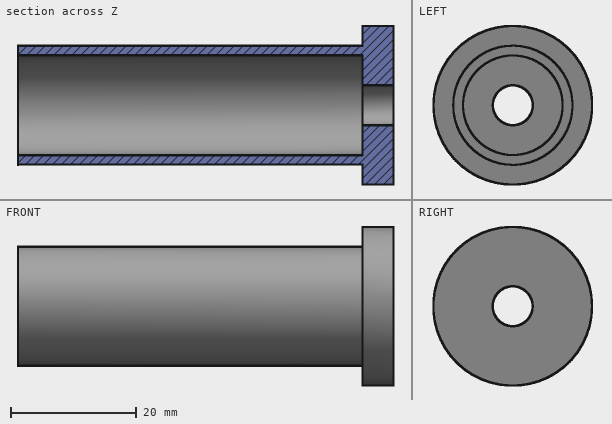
import cadquery as cq

total_length = 60.0
flange_thickness = 5.0
flange_diameter = 25.4
tube_outer_diameter = 19.05
tube_bore_diameter = 15.92
end_hole_diameter = 6.35

tube_length = total_length - flange_thickness


def cylinder_along_x(diameter, start_x, length):
    """Solid cylinder centred on the X axis, running from start_x towards +X."""
    return cq.Workplane("YZ", origin=(start_x, 0, 0)).circle(diameter / 2).extrude(length)


tube = cylinder_along_x(tube_outer_diameter, 0, tube_length)
flange = cylinder_along_x(flange_diameter, tube_length, flange_thickness)
body = tube.union(flange)

bore = cylinder_along_x(tube_bore_diameter, 0, tube_length)

end_hole = cylinder_along_x(end_hole_diameter, 0, total_length)

result = body.cut(bore).cut(end_hole)